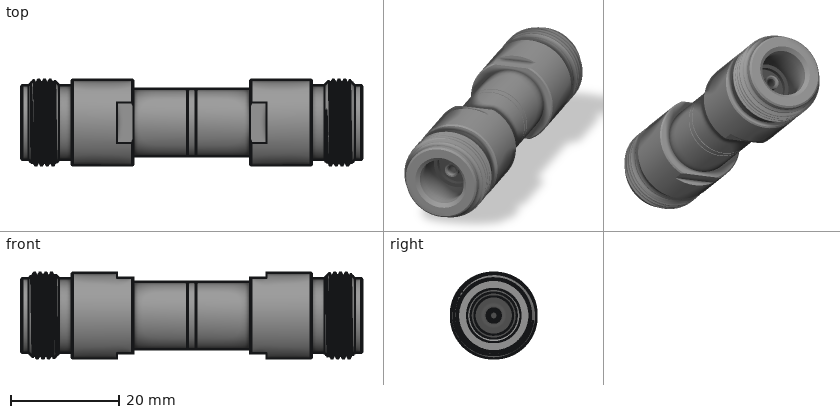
import cadquery as cq

LENGTH = 63.1
OVERALL_RADIUS = 15.88 / 2
TUBE_RADIUS = 6.25


BARREL_RADIUS = 6.9
BARREL_CHAMFER = 0.3

THREAD_START = 1.43
THREAD_END = 7.07
THREAD_PITCH = 25.4 / 24
THREAD_DEPTH = 0.62
THREAD_CREST_FLAT = THREAD_PITCH / 8
THREAD_ROOT_FLAT = THREAD_PITCH / 4
THREAD_LEAD_RADIUS = BARREL_RADIUS
RIDGE_OVERLAP = 0.1
THREAD_PHASE = 180

COLLAR_START = 9.33
COLLAR_END = 20.8
COLLAR_CHAMFER = 0.25
FLAT_START = 17.75
ACROSS_FLATS = 14.0

GROOVE_SPACING = 1.57
GROOVE_WIDTH = 0.2
GROOVE_DEPTH = 0.15

MOUTH_RADIUS = 4.93
BORE_RADIUS = 4.26
BORE_DEPTH = 9.0
INNER_BORE_RADIUS = 3.55
INNER_BORE_DEPTH = 10.0
CONTACT_RADIUS = 1.3
CONTACT_RECESS = 6.5
CONTACT_HOLE_RADIUS = 0.75
CONTACT_COUNTERSINK = 0.25
CONTACT_HOLE_DEPTH = 3.0


def revolve(points):
    """Turn an (axial, radial) outline about the X axis."""
    return cq.Workplane("XY").polyline(points).close().revolve(360, (0, 0, 0), (1, 0, 0))


def cylinder(start, end, radius):
    return cq.Workplane("YZ", origin=(start, 0, 0)).circle(radius).extrude(end - start)


def make_barrel():
    barrel = cylinder(0, COLLAR_START, BARREL_RADIUS)
    return barrel.faces("<X").chamfer(BARREL_CHAMFER)


def make_thread_envelope():
    """Double cone that gives the thread its tapered ends."""
    half_length = (THREAD_END - THREAD_START) / 2
    apex_radius = THREAD_LEAD_RADIUS + half_length
    return revolve([
        (THREAD_START, 0),
        (THREAD_START, THREAD_LEAD_RADIUS),
        (THREAD_START + half_length, apex_radius),
        (THREAD_END, THREAD_LEAD_RADIUS),
        (THREAD_END, 0),
    ])


def make_thread():
    """Right-hand helical ridge on a core, trimmed to the tapered envelope."""
    root_radius = OVERALL_RADIUS - THREAD_DEPTH
    half_crest = THREAD_CREST_FLAT / 2
    half_root = (THREAD_PITCH - THREAD_ROOT_FLAT) / 2
    flank_slope = (half_root - half_crest) / THREAD_DEPTH
    base_radius = root_radius - RIDGE_OVERLAP
    half_base = half_root + RIDGE_OVERLAP * flank_slope
    run_start = THREAD_START - THREAD_PITCH
    run_end = THREAD_END + THREAD_PITCH

    helix = cq.Wire.makeHelix(THREAD_PITCH, run_end - run_start, root_radius)
    ridge = (
        cq.Workplane("XZ")
        .polyline([
            (base_radius, -half_base),
            (OVERALL_RADIUS, -half_crest),
            (OVERALL_RADIUS, half_crest),
            (base_radius, half_base),
        ])
        .close()
        .sweep(cq.Workplane(obj=helix), isFrenet=True)
        .rotate((0, 0, 0), (0, 1, 0), 90)
        .rotate((0, 0, 0), (1, 0, 0), THREAD_PHASE)
        .translate((run_start, 0, 0))
    )
    core = cylinder(run_start - THREAD_PITCH, run_end + THREAD_PITCH, root_radius)
    return core.union(ridge, clean=False).intersect(make_thread_envelope(), clean=False)


def make_collar():
    collar = cylinder(COLLAR_START, COLLAR_END, OVERALL_RADIUS).faces("<X or >X").chamfer(COLLAR_CHAMFER)
    flat_length = COLLAR_END - FLAT_START
    flat_depth = OVERALL_RADIUS - ACROSS_FLATS / 2
    for side in (1, -1):
        relief = cq.Workplane("XY").box(flat_length, 2 * OVERALL_RADIUS, flat_depth)
        relief_middle = (FLAT_START + flat_length / 2, 0, side * (ACROSS_FLATS + flat_depth) / 2)
        collar = collar.cut(relief.translate(relief_middle))
    return collar


def make_socket():
    """Stepped bore left open around the drilled centre contact."""
    hole_end = CONTACT_RECESS + CONTACT_HOLE_DEPTH
    return revolve([
        (0, 0),
        (0, MOUTH_RADIUS),
        (MOUTH_RADIUS - BORE_RADIUS, BORE_RADIUS),
        (BORE_DEPTH, BORE_RADIUS),
        (BORE_DEPTH, INNER_BORE_RADIUS),
        (INNER_BORE_DEPTH, INNER_BORE_RADIUS),
        (INNER_BORE_DEPTH, CONTACT_RADIUS),
        (CONTACT_RECESS, CONTACT_RADIUS),
        (CONTACT_RECESS, CONTACT_HOLE_RADIUS + CONTACT_COUNTERSINK),
        (CONTACT_RECESS + CONTACT_COUNTERSINK, CONTACT_HOLE_RADIUS),
        (hole_end, CONTACT_HOLE_RADIUS),
        (hole_end, 0),
    ])


def make_end():
    return make_barrel().union(make_thread()).union(make_collar()).cut(make_socket())


def make_tube():
    tube = cylinder(COLLAR_END, LENGTH - COLLAR_END, TUBE_RADIUS)
    for side in (1, -1):
        groove_middle = LENGTH / 2 + side * GROOVE_SPACING / 2
        groove_start = groove_middle - GROOVE_WIDTH / 2
        groove_end = groove_middle + GROOVE_WIDTH / 2
        band = cylinder(groove_start, groove_end, TUBE_RADIUS)
        core = cylinder(groove_start, groove_end, TUBE_RADIUS - GROOVE_DEPTH)
        tube = tube.cut(band.cut(core))
    return tube


left_end = make_end()
right_end = left_end.rotate((0, 0, 0), (0, 1, 0), 180).translate((LENGTH, 0, 0))
result = make_tube().union(left_end).union(right_end).translate((-LENGTH / 2, 0, 0))